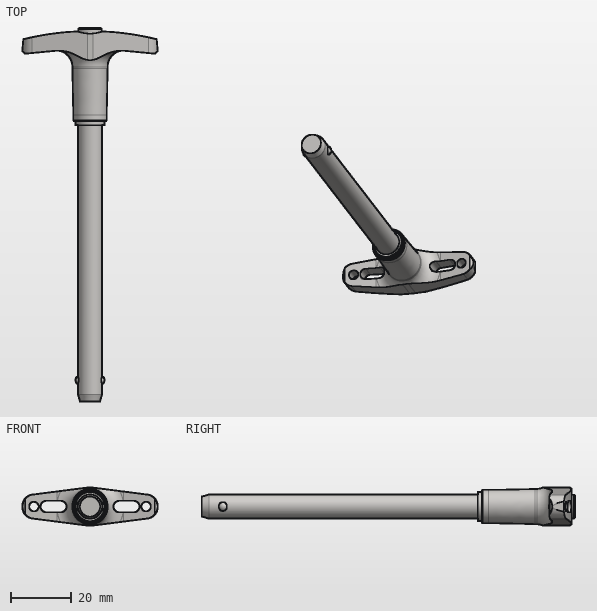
import cadquery as cq
import math

length = 124.5

handle_span = 45.2
handle_width = 12.7
center_flat_half = 1.0
side_end_x = 19.4
side_end_half_width = 4.0
crown_y = -1.1
crown_radius = 92.1
end_draft = 0.4
end_bottom_y = -8.7
end_bottom_chamfer = 1.0
underside_y = -7.7
hole_x = 18.7
hole_diameter = 3.1
slot_inner_x = 7.8
slot_outer_x = 16.4
slot_width = 3.7
channel_half_width = 4.5
channel_bottom_y = -2.0

neck_radius = 11.8 / 2
flare_radius = 5.2
flare_end_y = underside_y - flare_radius
neck_end_y = -13.6
collar_radius = 5.6
collar_taper_end_y = -29.0
collar_end_y = -31.2
collar_chamfer = 0.4
ring_radius = 4.9
ring_end_y = -32.5

shank_radius = 8.1 / 2
button_radius = 4.0
button_base_y = -2.5
button_chamfer = 0.5
tip_radius = 3.4
tip_length = 2.4
ball_radius = 3.1 / 2
ball_reach = 4.9
ball_y = -117.4


def revolve_about_pin(sketch):
    return sketch.revolve(360, (0, 0, 0), (0, 1, 0))


def make_flare():
    flare_outer_radius = neck_radius + flare_radius
    diagonal = flare_radius * math.sqrt(0.5)
    arc_middle = (flare_outer_radius - diagonal, flare_end_y + diagonal)
    sketch = (
        cq.Workplane("XY")
        .moveTo(0, underside_y)
        .lineTo(flare_outer_radius, underside_y)
        .threePointArc(arc_middle, (neck_radius, flare_end_y))
        .lineTo(0, flare_end_y)
        .close()
    )
    return revolve_about_pin(sketch)


def make_wings():
    """Crowned bar with drafted ends, extruded along Z."""
    half_span = handle_span / 2
    end_top_x = half_span - end_draft
    end_top_y = crown_y - crown_radius + math.sqrt(crown_radius**2 - end_top_x**2)
    flat_half = neck_radius + flare_radius
    return (
        cq.Workplane("XY")
        .moveTo(-end_top_x, end_top_y)
        .threePointArc((0, crown_y), (end_top_x, end_top_y))
        .lineTo(half_span, end_bottom_y + end_bottom_chamfer)
        .lineTo(half_span - end_bottom_chamfer, end_bottom_y)
        .lineTo(flat_half, underside_y)
        .lineTo(-flat_half, underside_y)
        .lineTo(-half_span + end_bottom_chamfer, end_bottom_y)
        .lineTo(-half_span, end_bottom_y + end_bottom_chamfer)
        .close()
        .extrude(handle_width / 2, both=True)
    )


def make_handle_envelope():
    """Tapered outline with rounded ends, extruded along Y."""
    half_span = handle_span / 2
    half_width = handle_width / 2
    return (
        cq.Workplane("XZ")
        .moveTo(-center_flat_half, half_width)
        .lineTo(center_flat_half, half_width)
        .lineTo(side_end_x, side_end_half_width)
        .threePointArc((half_span, 0), (side_end_x, -side_end_half_width))
        .lineTo(center_flat_half, -half_width)
        .lineTo(-center_flat_half, -half_width)
        .lineTo(-side_end_x, -side_end_half_width)
        .threePointArc((-half_span, 0), (-side_end_x, side_end_half_width))
        .close()
        .extrude(-flare_end_y)
    )


def make_handle_openings():
    slot_x = (slot_inner_x + slot_outer_x) / 2
    slot_length = slot_outer_x - slot_inner_x
    depth = -flare_end_y
    hole_points = [(-hole_x, 0), (hole_x, 0)]
    slot_points = [(-slot_x, 0), (slot_x, 0)]
    holes = cq.Workplane("XZ").pushPoints(hole_points).circle(hole_diameter / 2).extrude(depth)
    slots = cq.Workplane("XZ").pushPoints(slot_points).slot2D(slot_length, slot_width).extrude(depth)
    return holes.union(slots)


def make_button_channel():
    """Shallow round-bottomed channel across the crown, under the button."""
    return (
        cq.Workplane("XY")
        .moveTo(-channel_half_width, 0)
        .lineTo(-channel_half_width, crown_y)
        .threePointArc((0, channel_bottom_y), (channel_half_width, crown_y))
        .lineTo(channel_half_width, 0)
        .close()
        .extrude(handle_width / 2, both=True)
    )


def make_pin():
    """Button, collar and shank as one turned profile."""
    profile = [
        (0, 0),
        (button_radius - button_chamfer, 0),
        (button_radius, -button_chamfer),
        (button_radius, button_base_y),
        (shank_radius, button_base_y),
        (shank_radius, flare_end_y),
        (neck_radius, flare_end_y),
        (neck_radius, neck_end_y),
        (collar_radius, collar_taper_end_y),
        (collar_radius, collar_end_y + collar_chamfer),
        (collar_radius - collar_chamfer, collar_end_y),
        (ring_radius, collar_end_y),
        (ring_radius, ring_end_y),
        (shank_radius, ring_end_y),
        (shank_radius, -length + tip_length),
        (tip_radius, -length),
        (0, -length),
    ]
    return revolve_about_pin(cq.Workplane("XY").polyline(profile).close())


def make_balls():
    ball_x = ball_reach - ball_radius
    return cq.Workplane("XY").pushPoints([(-ball_x, ball_y), (ball_x, ball_y)]).sphere(ball_radius)


handle = make_wings().union(make_flare()).intersect(make_handle_envelope())
handle = handle.cut(make_handle_openings()).cut(make_button_channel())
result = handle.union(make_pin()).union(make_balls())